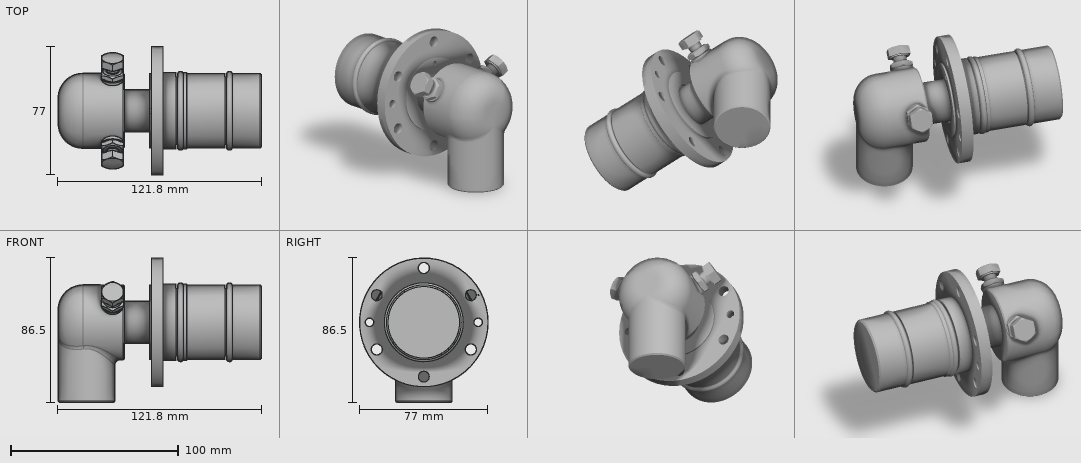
import cadquery as cq
import math


body_diameter = 45.0
pipe_diameter = 34.0
pipe_radius = pipe_diameter / 2
pipe_end_z = -48.0
pipe_chamfer = 0.8
dome_x = -pipe_radius
dome_radius = 15.0
elbow_end_x = 22.7
elbow_chamfer = 0.8
pipe_joint_fillet = 3.0
dome_overhang = 0.001

screw_x = 15.6
screw_elevation = 30.0
seat_diameter = 14.0
shank_diameter = 8.0
neck_diameter = 7.32
hex_across_flats = 13.0
hex_across_corners = hex_across_flats / math.cos(math.radians(30))
hex_chamfer_angle = 30.0
head_face_diameter = hex_across_flats
nut_face_diameter = 11.4
washer_face_diameter = 11.4
nut_start = 23.3
nut_height = 4.0
neck_end = 28.0
washer_face_start = 30.8
head_start = 31.4
head_height = 5.1
seat_start = 18.0

shaft_diameter = 25.45
shaft_start_x = elbow_end_x - 10.0
shaft_end_x = 48.0

barrel_diameter = 44.8
collar_start_x = 37.7
flange_start_x = 38.8
flange_thickness = 7.0
flange_end_x = flange_start_x + flange_thickness
flange_diameter = 77.0
pilot_diameter = 46.0
pilot_end_x = 59.8
pilot_taper_length = 0.4
housing_end_x = dome_x + 121.8
end_chamfer = 1.0
groove_diameter = 40.5
groove_width = 4.5
groove_starts_x = (53.5, 82.8)
ring_section_diameter = 3.53
ring_inner_diameter = 40.16

large_hole_diameter = 6.5
large_hole_count = 6
small_hole_diameter = 4.92
small_hole_count = 2
flange_hole_circle = 65.0
vent_diameter = 3.0
vent_depth = 5.0
vent_z = 19.1

recess_diameter = 28.0
recess_depth = 1.5


def cylinder_x(diameter, start_x, end_x):
    """Cylinder along the shaft axis."""
    return cq.Workplane("YZ", origin=(start_x, 0, 0)).circle(diameter / 2).extrude(end_x - start_x)


def cylinder_z(diameter, start, end):
    """Cylinder along Z."""
    return cq.Workplane("XY", origin=(0, 0, start)).circle(diameter / 2).extrude(end - start)


def hex_prism(start, height):
    """Plain hexagon standing on Z, with two flats facing along X."""
    prism = cq.Workplane("XY", origin=(0, 0, start)).polygon(6, hex_across_corners).extrude(height)
    return prism.rotate((0, 0, 0), (0, 0, 1), 30)


def chamfered_stock(start, height, face_diameter):
    """Round bar whose top edge is a cone running down from the face diameter to the hexagon corners."""
    corner_radius = hex_across_corners / 2
    radial_cut = corner_radius - face_diameter / 2
    drop = radial_cut * math.tan(math.radians(hex_chamfer_angle))
    bar = cylinder_z(hex_across_corners, start, start + height)
    return bar.faces(">Z").edges().chamfer(drop, radial_cut)


def clamping_screw():
    """Seat, lock nut, screw shank and hexagon head stacked along Z."""
    seat = cylinder_z(seat_diameter, seat_start, nut_start)

    nut_stock = chamfered_stock(nut_start, nut_height, nut_face_diameter)
    nut_middle = nut_start + nut_height / 2
    nut_stock_flipped = nut_stock.mirror("XY", (0, 0, nut_middle))
    nut = hex_prism(nut_start, nut_height).intersect(nut_stock).intersect(nut_stock_flipped)

    neck = cylinder_z(neck_diameter, nut_start, neck_end)
    shank = cylinder_z(shank_diameter, neck_end, head_start)
    washer_face = cylinder_z(washer_face_diameter, washer_face_start, head_start)
    head = hex_prism(head_start, head_height)
    head = head.intersect(chamfered_stock(head_start, head_height, head_face_diameter))
    return seat.union(nut).union(neck).union(shank).union(washer_face).union(head)


def make_elbow():
    body = cylinder_x(body_diameter, dome_x, elbow_end_x)
    body = body.faces("<X").edges().fillet(dome_radius)
    body = body.faces(">X").edges().chamfer(elbow_chamfer)
    pipe = cq.Workplane("XY", origin=(dome_overhang, 0, pipe_end_z))
    pipe = pipe.circle(pipe_radius - dome_overhang).extrude(-pipe_end_z)
    elbow = body.union(pipe)
    elbow = elbow.edges("not(%LINE or %CIRCLE)").fillet(pipe_joint_fillet)
    elbow = elbow.faces("<Z").edges().chamfer(pipe_chamfer)
    for side in (-1, 1):
        tilt = side * (90 - screw_elevation)
        screw = clamping_screw().rotate((0, 0, 0), (1, 0, 0), tilt).translate((screw_x, 0, 0))
        elbow = elbow.union(screw)
    return elbow.cut(cylinder_x(shaft_diameter, shaft_start_x, elbow_end_x))


def make_shaft():
    return cylinder_x(shaft_diameter, shaft_start_x, shaft_end_x)


def flange_holes(diameter, count, start_angle):
    return (
        cq.Workplane("YZ", origin=(flange_start_x, 0, 0))
        .polarArray(flange_hole_circle / 2, start_angle, 360, count)
        .circle(diameter / 2)
        .extrude(flange_thickness)
    )


def make_housing():
    housing = cylinder_x(barrel_diameter, collar_start_x, housing_end_x).faces(">X").edges().chamfer(end_chamfer)
    pilot = cylinder_x(pilot_diameter, flange_end_x, pilot_end_x + pilot_taper_length)
    pilot = pilot.faces(">X").edges().chamfer(pilot_taper_length, (pilot_diameter - barrel_diameter) / 2)
    housing = housing.union(pilot).union(cylinder_x(flange_diameter, flange_start_x, flange_end_x))

    housing = housing.cut(flange_holes(large_hole_diameter, large_hole_count, 90))
    housing = housing.cut(flange_holes(small_hole_diameter, small_hole_count, 0))

    ring_radius = (ring_inner_diameter + ring_section_diameter) / 2
    for start_x in groove_starts_x:
        end_x = start_x + groove_width
        groove = cylinder_x(flange_diameter, start_x, end_x).cut(cylinder_x(groove_diameter, start_x, end_x))
        ring = (
            cq.Workplane("XY")
            .center(end_x - ring_section_diameter / 2, ring_radius)
            .circle(ring_section_diameter / 2)
            .revolve(360, (0, -ring_radius, 0), (1, -ring_radius, 0))
        )
        housing = housing.cut(groove).union(ring)

    vent = (
        cq.Workplane("YZ", origin=(collar_start_x, 0, 0))
        .center(0, vent_z)
        .circle(vent_diameter / 2)
        .extrude(vent_depth)
    )
    recess = cylinder_x(recess_diameter, collar_start_x, collar_start_x + recess_depth)
    return housing.cut(vent).cut(recess).cut(make_shaft())


elbow = make_elbow()
shaft = make_shaft()
housing = make_housing()

result = cq.Compound.makeCompound([*elbow.solids().vals(), shaft.val(), *housing.solids().vals()])